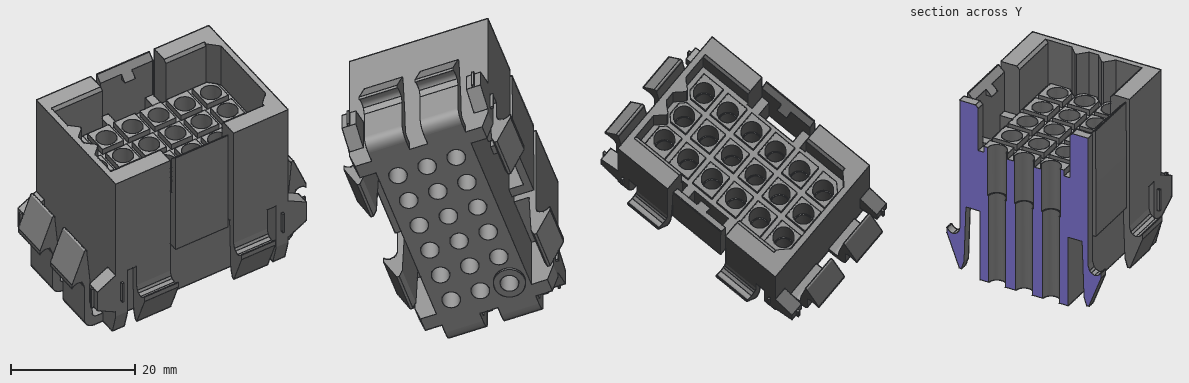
import cadquery as cq

body_width = 23.8
body_depth = 33.0
body_height = 33.0
half_width = body_width / 2
half_depth = body_depth / 2
foot_taper = 1.0
foot_taper_height = 3.9

pitch = 5.0
columns = 3
rows = 6
column_centers = [(i - (columns - 1) / 2) * pitch for i in range(columns)]
row_centers = [(i - (rows - 1) / 2) * pitch for i in range(rows)]
cell_size = 4.05
cell_outer_edge = 7.45
cell_top = 25.6
floor_height = 24.5
back_cell_chamfer = 1.25
front_cell_chamfer = 0.9
hole_diameter = 3.0
bore_diameter = 3.4
bore_bottom = body_height / 2
nub_diameter = 5.2
nub_height = 0.5

cavity_half_width = 8.43
cavity_half_depth = 15.5
cavity_corner = 1.75
lead_in = 0.52
key_center = 2.47
key_half_base = 1.61
key_half_tip = 0.15
key_height = 1.54

core_half_width = 8.16
opening_half = 6.06
pocket_end = 14.2
pocket_height = 13.0
panel_half = 5.03
panel_inner = 10.66
panel_lean = 0.05
panel_lean_start = 23.0
panel_lip = 0.15
panel_bevel_height = 1.1
leg_width = 1.5
tab_half = 1.0
tab_length = 1.05

hook_start = opening_half
hook_end = 12.5
hook_reach = 14.3
hook_root_inner = 10.7
hook_inner_knee = (11.05, 2.6)
hook_end_inner = 11.55
hook_end_outer = 12.0
hook_tip_z = 1.05
hook_barb_bottom = 7.15
hook_barb_top = 8.1
hook_barb_flat = 0.15
hook_groove_rise = (13.75, 7.6)
hook_groove_bottom = (13.1, 7.33)
hook_ledge_lower = (12.48, 7.6)
hook_ledge_upper = (12.15, 7.95)
hook_ledge_top = 8.8

latch_width = 6.5
latch_center = 4.8
latch_outer = 20.0
latch_reach = 22.4
latch_bend = 1.95
latch_floor = 1.8
latch_inner = 18.5
latch_inner_bend = 0.9
latch_inner_knee = (18.68, 7.0)
latch_neck_z = 9.15
latch_flare_end = (20.45, 10.4)
latch_hollow_top = (21.4, 10.65)
latch_barb_bottom = 10.0
latch_barb_corner = 10.8
latch_tip_outer = (20.06, 16.85)
latch_tip = (19.82, 17.1)
latch_tip_inner = (19.57, 16.7)

ear_width = 2.4
ear_reach = 3.5
ear_bottom = 5.0
ear_top = 13.0
ear_slope = 2.0
rib_width = 0.37
rib_height = 0.47
rib_side_position = 15.35

overlap = 0.3


def box(x0, x1, y0, y1, z0, z1):
    """Box between two opposite corners."""
    return cq.Workplane("XY").box(x1 - x0, y1 - y0, z1 - z0, centered=False).translate((x0, y0, z0))


def prism_along_y(sketch, y0, y1):
    """Solid swept from y0 to y1 by a closed sketch drawn in X and Z."""
    return sketch.extrude(y0 - y1).translate((0, y0, 0))


def both_x(shape):
    """The shape together with its mirror image in X."""
    return shape.union(shape.mirror("YZ"))


def both_y(shape):
    """The shape together with its mirror image in Y."""
    return shape.union(shape.mirror("XZ"))


def make_block():
    foot_half = half_width - foot_taper
    outline = [
        (-foot_half, 0),
        (foot_half, 0),
        (half_width, foot_taper_height),
        (half_width, body_height),
        (-half_width, body_height),
        (-half_width, foot_taper_height),
    ]
    sketch = cq.Workplane("XZ").polyline(outline).close()
    return prism_along_y(sketch, -half_depth, half_depth)


def make_cavity():
    depth = body_height - floor_height
    corner_x = cavity_half_width - cavity_corner
    corner_y = cavity_half_depth - cavity_corner
    outline = [
        (-cavity_half_width, -cavity_half_depth),
        (cavity_half_width, -cavity_half_depth),
        (cavity_half_width, corner_y),
        (corner_x, cavity_half_depth),
        (-corner_x, cavity_half_depth),
        (-cavity_half_width, corner_y),
    ]
    cavity = cq.Workplane("XY", origin=(0, 0, floor_height)).polyline(outline).close().extrude(depth)
    wedge = [
        (cavity_half_width, body_height - lead_in),
        (cavity_half_width + lead_in, body_height),
        (cavity_half_width, body_height),
    ]
    sketch = cq.Workplane("XZ").polyline(wedge).close()
    return cavity.union(both_x(prism_along_y(sketch, -cavity_half_depth, corner_y)))


def make_keys():
    """Two wedge ribs standing on the front wall of the cavity."""
    outline = [
        (key_center - key_half_base, -cavity_half_depth),
        (key_center - key_half_tip, key_height - cavity_half_depth),
        (key_center + key_half_tip, key_height - cavity_half_depth),
        (key_center + key_half_base, -cavity_half_depth),
        (key_center + key_half_base, -half_depth),
        (key_center - key_half_base, -half_depth),
    ]
    depth = body_height - floor_height
    return both_x(cq.Workplane("XY", origin=(0, 0, floor_height)).polyline(outline).close().extrude(depth))


def make_side_recesses():
    """Full-height opening in the middle of each side, widened below for the hooks."""
    outer = half_width + overlap
    opening = box(core_half_width, outer, -opening_half, opening_half, 0, body_height)
    above_floor = box(0, outer, -opening_half, opening_half, floor_height, body_height)
    pocket = box(core_half_width, outer, -pocket_end, pocket_end, 0, pocket_height)
    return both_x(opening.union(above_floor).union(pocket))


def make_cells():
    half = cell_size / 2
    cells = None
    for x in column_centers:
        x0 = -cell_outer_edge if x == column_centers[0] else x - half
        x1 = cell_outer_edge if x == column_centers[-1] else x + half
        for y in row_centers:
            cell = box(x0, x1, y - half, y + half, floor_height - overlap, cell_top)
            if y == row_centers[-1] and x < 0:
                cell = cell.edges("|Z and <X and >Y").chamfer(back_cell_chamfer)
            if y == row_centers[-1] and x > 0:
                cell = cell.edges("|Z and >X and >Y").chamfer(back_cell_chamfer)
            if y == row_centers[0] and x <= 0:
                cell = cell.edges("|Z and >X and <Y").chamfer(front_cell_chamfer)
            if y == row_centers[0] and x >= 0:
                cell = cell.edges("|Z and <X and <Y").chamfer(front_cell_chamfer)
            cells = cell if cells is None else cells.union(cell)
    return cells


def cut_contact_holes(part):
    centers = [(x, y) for x in column_centers for y in row_centers]
    plane = cq.Workplane("XY", origin=(0, 0, -nub_height))
    holes = plane.pushPoints(centers).circle(hole_diameter / 2).extrude(cell_top + nub_height)
    plane = cq.Workplane("XY", origin=(0, 0, bore_bottom))
    bores = plane.pushPoints(centers).circle(bore_diameter / 2).extrude(cell_top - bore_bottom)
    return part.cut(holes).cut(bores)


def make_nub():
    """Raised ring around the first contact hole on the underside."""
    plane = cq.Workplane("XY", origin=(column_centers[0], row_centers[0], -nub_height))
    return plane.circle(nub_diameter / 2).extrude(nub_height + overlap)


def make_panels():
    """Spring panel on each side, carried by two legs and with a tab at its top."""
    bevel_bottom = body_height - panel_bevel_height
    rim = half_width - panel_lean
    bevel_edge = rim - panel_lip
    outline = [
        (panel_inner, pocket_height),
        (half_width, pocket_height),
        (half_width, panel_lean_start),
        (rim, body_height),
        (bevel_edge, body_height),
        (panel_inner, bevel_bottom),
    ]
    sketch = cq.Workplane("XZ").polyline(outline).close()
    panel = prism_along_y(sketch, -panel_half, panel_half)

    tab_slope = panel_bevel_height / (bevel_edge - panel_inner)
    tab_tip = panel_inner - tab_length
    tab_outline = [
        (panel_inner + overlap, bevel_bottom + overlap * tab_slope),
        (tab_tip, bevel_bottom - tab_length * tab_slope),
        (panel_inner + overlap, bevel_bottom - tab_length * tab_slope),
    ]
    sketch = cq.Workplane("XZ").polyline(tab_outline).close()
    tab = prism_along_y(sketch, -tab_half, tab_half)

    leg = box(
        core_half_width - overlap, panel_inner + overlap,
        panel_half - leg_width, panel_half,
        pocket_height, floor_height,
    )
    return both_x(panel.union(tab).union(both_y(leg)))


def make_hooks():
    """Barbed arms hanging from the top of the side pockets."""
    root_z = pocket_height + overlap
    sketch = (
        cq.Workplane("XZ")
        .moveTo(hook_root_inner, root_z)
        .lineTo(half_width, root_z)
        .lineTo(half_width, hook_ledge_top)
        .lineTo(*hook_ledge_upper)
        .lineTo(*hook_ledge_lower)
        .lineTo(*hook_groove_bottom)
        .threePointArc(hook_groove_rise, (hook_reach - hook_barb_flat, hook_barb_top))
        .lineTo(hook_reach, hook_barb_top)
        .lineTo(hook_reach, hook_barb_bottom)
        .lineTo(hook_end_outer, hook_tip_z)
        .lineTo(hook_end_inner, hook_tip_z)
        .lineTo(*hook_inner_knee)
        .lineTo(hook_root_inner, pocket_height)
        .close()
    )
    return both_x(both_y(prism_along_y(sketch, hook_start, hook_end)))


def make_latches():
    """J-shaped arms with an arrow barb on the two ends."""
    root_y = half_depth - overlap
    plane = cq.Workplane("YZ", origin=(latch_center - latch_width / 2, 0, 0))
    latch = (
        plane.moveTo(root_y, 0)
        .lineTo(latch_outer - latch_bend, 0)
        .radiusArc((latch_outer, latch_bend), -latch_bend)
        .lineTo(latch_outer, latch_neck_z)
        .lineTo(*latch_flare_end)
        .threePointArc(latch_hollow_top, (latch_reach, latch_barb_bottom))
        .lineTo(latch_reach, latch_barb_corner)
        .lineTo(*latch_tip_outer)
        .threePointArc(latch_tip, latch_tip_inner)
        .lineTo(*latch_inner_knee)
        .lineTo(latch_inner, latch_floor + latch_inner_bend)
        .radiusArc((latch_inner - latch_inner_bend, latch_floor), latch_inner_bend)
        .lineTo(root_y, latch_floor)
        .close()
        .extrude(latch_width)
    )
    return both_x(both_y(latch))


def make_ears():
    """Tapered ears at the four corners, with a thin crush rib on the tip and on the side."""
    tip = half_depth + ear_reach
    rib_bottom = ear_bottom + ear_slope
    rib_top = ear_top - ear_slope
    outline = [
        (half_depth - overlap, ear_bottom),
        (half_depth, ear_bottom),
        (tip, rib_bottom),
        (tip, rib_top),
        (half_depth, ear_top),
        (half_depth - overlap, ear_top),
    ]
    plane = cq.Workplane("YZ", origin=(half_width - ear_width, 0, 0))
    ear = plane.polyline(outline).close().extrude(ear_width)
    rib_x = half_width - ear_width / 2
    half_rib = rib_width / 2
    tip_rib = box(
        rib_x - half_rib, rib_x + half_rib,
        tip - overlap, tip + rib_height,
        rib_bottom, rib_top,
    )
    side_rib = box(
        half_width - overlap, half_width + rib_height,
        rib_side_position - half_rib, rib_side_position + half_rib,
        rib_bottom, rib_top,
    )
    return both_x(both_y(ear.union(tip_rib).union(side_rib)))


part = make_block().cut(make_cavity()).union(make_keys()).cut(make_side_recesses())
part = part.union(make_cells()).union(make_nub())
for feature in (make_panels(), make_hooks(), make_latches(), make_ears()):
    part = part.union(feature)
result = cut_contact_holes(part)